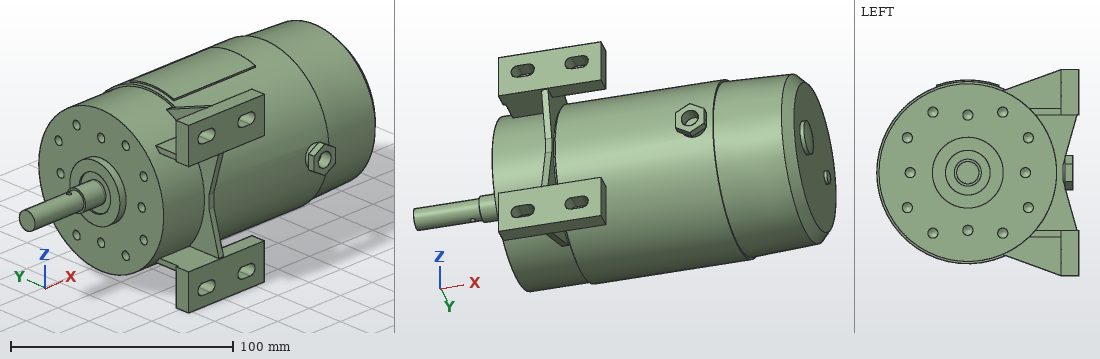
import cadquery as cq
import math


total_length = 190.0
shaft_d = 10.0
sleeve_d = 12.2
sleeve_start = 31.0
boss_d = 32.0
boss_start = 43.0
gearbox_d = 80.0
gearbox_start = 47.0
body_d = 82.0
body_start = 76.8
cap_start = 150.7
cap_large_d = 80.2
cap_small_d = 77.5
end_face = 186.8
end_chamfer = 4.5

cross_hole_x = 26.5
cross_hole_d = 2.3
recess_d = 20.1
recess_depth = 1.0

tapped_count = 12
tapped_d = 4.5
tapped_depth = 9.5
drill_point_angle = 118.0
inner_circle_d = 51.9
outer_circle_d = 62.9

foot_face_y = -50.0
foot_thickness = 8.0
foot_start = 52.8
foot_length = 48.0
foot_span = 93.0
foot_gap = 52.0
slot_length = 10.8
slot_width = 6.0
slot_pitch = 25.3
slot_spacing_z = 75.0
first_slot_offset = 11.4

web_start = 72.8
web_thickness = 3.0
web_root_y = -15.5
web_tip_y = -49.2
web_waist_y = -43.0
web_waist_width = 7.5
shelf_start = 54.0
shelf_thickness = 2.8

plate_start = 79.0
plate_length = 51.7
plate_width = 28.1
plate_thickness = 0.8

fitting_x = 141.7
neck_d = 12.2
hex_start_y = -43.7
hex_height = 3.6
hex_across_flats = 13.5
fitting_bore_d = 8.0

cover_y = -17.0
cover_d = 15.4
cover_rim = 1.9
screw_y = 17.5
screw_d = 6.0
screw_rim = 1.3
screw_height = 2.0


def cylinder_x(diameter, start, end):
    """Cylinder on the shaft axis."""
    return cq.Workplane("YZ", origin=(start, 0, 0)).circle(diameter / 2).extrude(end - start)


def cylinder_y(diameter, x, start, end):
    """Cylinder along Y at height Z = 0."""
    return cq.Workplane("XZ", origin=(x, start, 0)).circle(diameter / 2).extrude(start - end)


def make_housing():
    profile = [
        (0, 0),
        (0, shaft_d / 2),
        (sleeve_start, shaft_d / 2),
        (sleeve_start, sleeve_d / 2),
        (boss_start, sleeve_d / 2),
        (boss_start, boss_d / 2),
        (gearbox_start, boss_d / 2),
        (gearbox_start, gearbox_d / 2),
        (body_start, gearbox_d / 2),
        (body_start, body_d / 2),
        (cap_start, body_d / 2),
        (cap_start, cap_large_d / 2),
        (end_face - end_chamfer, cap_small_d / 2),
        (end_face, cap_small_d / 2 - end_chamfer),
        (end_face, 0),
    ]
    return cq.Workplane("XY").polyline(profile).close().revolve(360, (0, 0, 0), (1, 0, 0))


def make_cross_hole():
    hole = cq.Workplane("XY", origin=(cross_hole_x, 0, 0)).circle(cross_hole_d / 2)
    return hole.extrude(shaft_d, both=True)


def make_recess():
    ring = cq.Workplane("YZ", origin=(boss_start, 0, 0)).circle(recess_d / 2).circle(sleeve_d / 2)
    return ring.extrude(recess_depth)


def make_tapped_hole(circle_d, angle):
    """Blind hole with a conical drill point, at an angle around the shaft axis."""
    radius = tapped_d / 2
    point = radius / math.tan(math.radians(drill_point_angle / 2))
    bottom = gearbox_start + tapped_depth
    profile = [(gearbox_start, 0), (gearbox_start, radius), (bottom, radius), (bottom + point, 0)]
    hole = cq.Workplane("XY").polyline(profile).close().revolve(360, (0, 0, 0), (1, 0, 0))
    return hole.translate((0, circle_d / 2, 0)).rotate((0, 0, 0), (1, 0, 0), angle)


def make_upper_foot():
    """Slotted foot pad and the shelf along its inner edge, on the +Z side."""
    pad_height = (foot_span - foot_gap) / 2
    pad = cq.Workplane("XY").box(foot_length, foot_thickness, pad_height, centered=False)
    pad = pad.translate((foot_start, foot_face_y, foot_gap / 2))
    slot_z = slot_spacing_z / 2
    first_slot_x = foot_start + first_slot_offset
    slots = (
        cq.Workplane("XZ", origin=(0, foot_face_y + foot_thickness, 0))
        .pushPoints([(first_slot_x, slot_z), (first_slot_x + slot_pitch, slot_z)])
        .slot2D(slot_length, slot_width)
        .extrude(foot_thickness)
    )
    shelf_size = (web_start - shelf_start, web_root_y - foot_face_y - foot_thickness, shelf_thickness)
    shelf = cq.Workplane("XY").box(*shelf_size, centered=False)
    shelf = shelf.translate((shelf_start, foot_face_y + foot_thickness, foot_gap / 2))
    return pad.cut(slots).union(shelf)


def make_web():
    """Plate across the shaft axis that carries both feet, with a waist between them."""
    root_z = math.sqrt((gearbox_d / 2) ** 2 - web_root_y**2)
    upper = [
        (web_root_y, root_z),
        (foot_face_y + foot_thickness, foot_span / 2),
        (web_tip_y, foot_gap / 2),
        (web_waist_y, web_waist_width / 2),
    ]
    lower = [(y, -z) for y, z in reversed(upper)]
    return cq.Workplane("YZ", origin=(web_start, 0, 0)).polyline(upper + lower).close().extrude(web_thickness)


def make_nameplate():
    """Thin curved plate wrapped over the top of the body."""
    plate_end = plate_start + plate_length
    sheet = cylinder_x(body_d + 2 * plate_thickness, plate_start, plate_end)
    sheet = sheet.cut(cylinder_x(body_d - 2 * plate_thickness, plate_start, plate_end))
    blank = cq.Workplane("XY").box(plate_length, plate_width, body_d, centered=(False, True, False))
    return sheet.intersect(blank.translate((plate_start, 0, 0)))


def make_fitting():
    neck = cylinder_y(neck_d, fitting_x, 0, hex_start_y)
    nut = (
        cq.Workplane("XZ", origin=(fitting_x, hex_start_y, 0))
        .polygon(6, hex_across_flats, circumscribed=True)
        .extrude(hex_height)
    )
    bore = cylinder_y(fitting_bore_d, fitting_x, -body_d / 2, hex_start_y - hex_height)
    return neck.union(nut).cut(bore)


def make_domed_head(diameter, y, rim, height):
    """Round head on the end face: a short cylindrical rim under a shallow dome."""
    radius = diameter / 2
    rise = height - rim
    dome_radius = (radius**2 + rise**2) / (2 * rise)
    half_angle = math.asin(radius / dome_radius) / 2
    mid_x = height - dome_radius * (1 - math.cos(half_angle))
    mid_r = dome_radius * math.sin(half_angle)
    head = (
        cq.Workplane("XY")
        .lineTo(0, radius)
        .lineTo(rim, radius)
        .threePointArc((mid_x, mid_r), (height, 0))
        .close()
        .revolve(360, (0, 0, 0), (1, 0, 0))
    )
    return head.translate((end_face, y, 0))


housing = make_housing().cut(make_cross_hole()).cut(make_recess())

upper_foot = make_upper_foot()
housing = housing.union(make_web()).union(upper_foot).union(upper_foot.mirror("XY"))
housing = housing.union(make_nameplate()).union(make_fitting())
housing = housing.union(make_domed_head(cover_d, cover_y, cover_rim, total_length - end_face))
housing = housing.union(make_domed_head(screw_d, screw_y, screw_rim, screw_height))

for position in range(tapped_count):
    hole_circle_d = inner_circle_d if position % 3 == 0 else outer_circle_d
    housing = housing.cut(make_tapped_hole(hole_circle_d, position * 360 / tapped_count))

result = housing